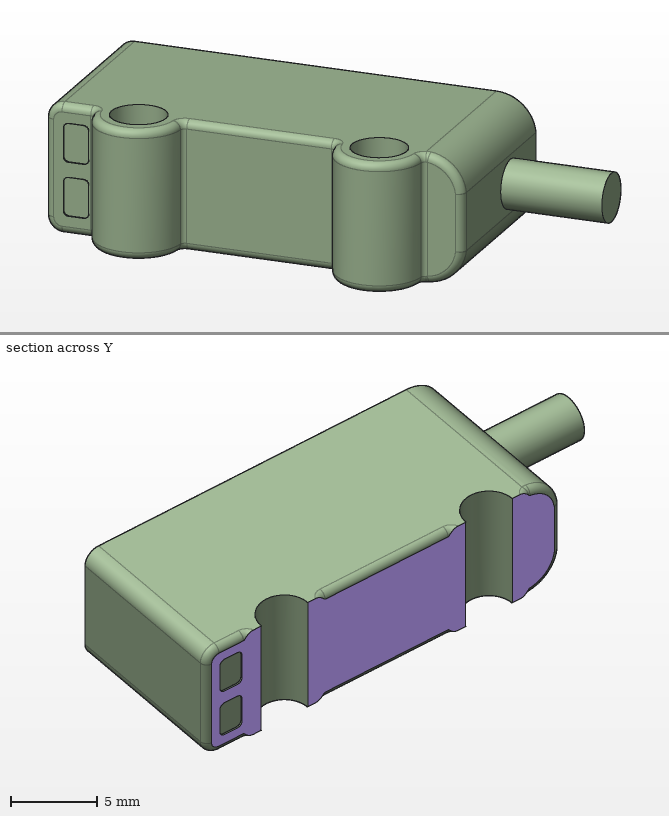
import cadquery as cq
import math

total_length = 32.3
total_depth = 14.08
height = 8.0
body_length = 26.0
lug_radius = 2.7
body_depth = total_depth - lug_radius
nose_radius = 1.0
rim_radius = 0.5

cable_end_radius = 2.5
end_flat_height = 3.6

first_lug_x = 5.78
lug_spacing = 15.0
hole_diameter = 3.4
lug_root_radius = 0.3

window_width = 1.58
window_height = 2.4
window_x = 1.87
window_spacing = 3.33
window_corner_radius = 0.32
window_depth = 0.1

cable_diameter = 3.0
cable_to_back = 4.05
cable_y = body_depth - cable_to_back

mid_z = height / 2
lug_centres = [(first_lug_x, 0), (first_lug_x + lug_spacing, 0)]


def make_plan():
    """Full-height prism of the plan outline, with the lug roots blended into the front face."""
    block = cq.Workplane("XY").rect(body_length, body_depth).extrude(height)
    block = block.translate((body_length / 2, body_depth / 2, 0))
    lugs = cq.Workplane("XY").pushPoints(lug_centres).circle(lug_radius).extrude(height)
    plan = block.union(lugs)
    for x, y in lug_centres:
        for side in (-1, 1):
            root = cq.selectors.NearestToPointSelector((x + side * lug_radius, y, mid_z))
            plan = plan.edges("|Z").edges(root).fillet(lug_root_radius)
    return plan


def make_side_profile():
    """Rounded side outline, swept in Y far enough to cover the lugs."""
    flat_edge_offset = end_flat_height / 2 - (mid_z - cable_end_radius)
    arc_run = math.sqrt(cable_end_radius**2 - flat_edge_offset**2)
    arc_start_x = body_length - arc_run
    flat_top_z = mid_z + end_flat_height / 2
    flat_bottom_z = mid_z - end_flat_height / 2
    outline = (
        cq.Workplane("XZ", origin=(0, body_depth, 0))
        .moveTo(0, nose_radius)
        .radiusArc((nose_radius, 0), -nose_radius)
        .lineTo(arc_start_x, 0)
        .radiusArc((body_length, flat_bottom_z), -cable_end_radius)
        .lineTo(body_length, flat_top_z)
        .radiusArc((arc_start_x, height), -cable_end_radius)
        .lineTo(nose_radius, height)
        .radiusArc((0, height - nose_radius), -nose_radius)
        .close()
    )
    return outline.extrude(total_depth)


def make_housing():
    """Block and lugs with a rounded rim all around the front."""
    housing = make_plan().intersect(make_side_profile())
    front_zone = cq.selectors.BoxSelector(
        (-rim_radius, -total_depth, -rim_radius),
        (body_length + rim_radius, rim_radius, height + rim_radius),
    )
    rim = housing.edges(front_zone).edges("(not |Z) or <X or >X")
    return rim.fillet(rim_radius)


def make_windows():
    """Cutters for the two indicator windows, one above the other."""
    centres = [(window_x, mid_z - window_spacing / 2), (window_x, mid_z + window_spacing / 2)]
    windows = cq.Workplane("XZ").pushPoints(centres).rect(window_width, window_height)
    return windows.extrude(-window_depth).edges("|Y").fillet(window_corner_radius)


def make_cable():
    """Round cable fixed to the flat of the cable end."""
    end_plane = cq.Workplane("YZ", origin=(body_length, cable_y, mid_z))
    return end_plane.circle(cable_diameter / 2).extrude(total_length - body_length)


mounting_holes = cq.Workplane("XY").pushPoints(lug_centres).circle(hole_diameter / 2).extrude(height)

result = make_housing().cut(mounting_holes).cut(make_windows()).union(make_cable())